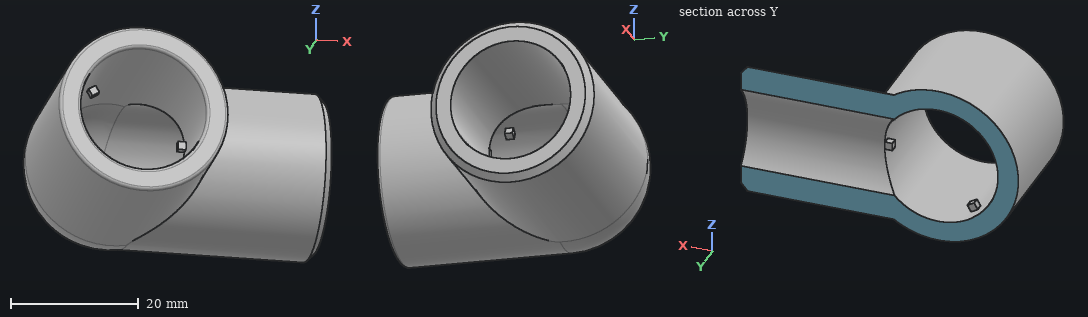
import cadquery as cq
import math

socket_outer_diameter = 27.0
socket_bore_diameter = 20.0
socket_end_distance = 26.72
socket_depth = 16.0
mouth_fillet = 0.5

spigot_outer_diameter = 26.44
spigot_bore_diameter = 19.44
spigot_end_distance = 33.0
spigot_end_chamfer = 1.12

stop_count = 3
stop_size = 1.3
stop_height = 1.25
stop_root_depth = 1.0
stop_length = 1.25

spigot_axis_y = (socket_outer_diameter - spigot_outer_diameter) / 2


def socket_form(diameter):
    """Cylinder from the mouth to the elbow centre, closed by a dome of the same diameter."""
    radius = diameter / 2
    diagonal = radius * math.sqrt(0.5)
    half_profile = (
        cq.Workplane("XY")
        .moveTo(0, -socket_end_distance)
        .lineTo(radius, -socket_end_distance)
        .lineTo(radius, 0)
        .threePointArc((diagonal, diagonal), (0, radius))
        .close()
    )
    return half_profile.revolve(360, (0, 0, 0), (0, 1, 0))


def spigot_form(diameter):
    """Cylinder along +X from the elbow centre to the spigot end."""
    return (
        cq.Workplane("YZ")
        .center(spigot_axis_y, 0)
        .circle(diameter / 2)
        .extrude(spigot_end_distance)
    )


def elbow_body():
    """Solid elbow with a chamfered spigot end."""
    spigot = spigot_form(spigot_outer_diameter).faces(">X").chamfer(spigot_end_chamfer)
    return socket_form(socket_outer_diameter).union(spigot)


def elbow_bore():
    """Hollow passage joining the two openings."""
    return socket_form(socket_bore_diameter).union(spigot_form(spigot_bore_diameter))


def pipe_stop(angle):
    """Small block on the bore wall, turned about the socket axis; its root is sunk in the wall."""
    bore_radius = socket_bore_diameter / 2
    inner_radius = bore_radius - stop_height
    front_y = socket_depth - socket_end_distance
    return (
        cq.Workplane("XY")
        .box(stop_height + stop_root_depth, stop_length, stop_size, centered=(False, False, True))
        .translate((inner_radius, front_y, 0))
        .rotate((0, 0, 0), (0, 1, 0), angle)
    )


result = elbow_body().cut(elbow_bore())
result = result.faces("<Y").edges().fillet(mouth_fillet)
for index in range(stop_count):
    result = result.union(pipe_stop(index * 360 / stop_count))